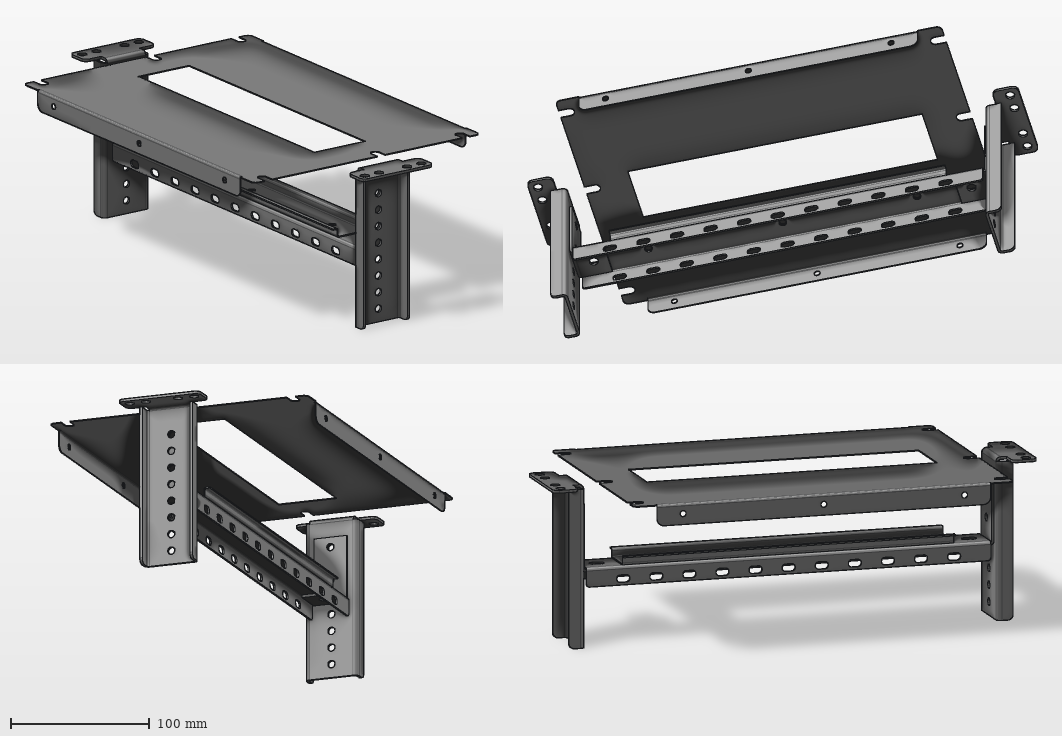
import cadquery as cq
OVERALL_LENGTH = 365.0
OVERALL_HEIGHT = 120.0
HOLE_PITCH = 12.5

PLATE_LENGTH = 287.0
PLATE_WIDTH = 199.5
PLATE_THICKNESS = 0.7
PLATE_BEND_RADIUS = 2.0
PLATE_CORNER_RADIUS = 4.0
SKIRT_LENGTH = 252.0
SKIRT_HEIGHT = 15.7
SKIRT_CORNER_RADIUS = 5.5
SKIRT_HOLE_DIAMETER = 4.5
SKIRT_HOLE_SPACING = 106.2
SKIRT_HOLE_DEPTH = 7.5
WINDOW_LENGTH = 219.0
WINDOW_WIDTH = 45.0
EDGE_SLOT_DEPTH = 11.0
EDGE_SLOT_WIDTH = 7.0
EDGE_SLOT_OFFSETS = (-7 * HOLE_PITCH, HOLE_PITCH, 7 * HOLE_PITCH)

HANGER_INNER_X = 155.5
HANGER_WIDTH = 41.0
HANGER_LEG_DEPTH = 12.0
HANGER_THICKNESS = 2.0
HANGER_BEND_RADIUS = 3.45
HANGER_LEG_GAP = 3.0
HANGER_LEG_CORNER_RADIUS = 4.0
HANGER_HOLE_DIAMETER = 5.5
HANGER_HOLE_COUNT = 8
HANGER_TOP_HOLE_DEPTH = 22.5
FLANGE_LENGTH = 62.8
FLANGE_DEPTH = 19.0
FLANGE_CORNER_RADIUS = 4.5
FLANGE_HOLE_DIAMETER = 6.5
FLANGE_HOLE_INSET = 7.0
FLANGE_HOLE_OFFSETS = (-2 * HOLE_PITCH, -HOLE_PITCH, HOLE_PITCH, 2 * HOLE_PITCH)

CROSSBAR_LENGTH = 305.0
CROSSBAR_WIDTH = 29.5
CROSSBAR_HEIGHT = 14.2
CROSSBAR_THICKNESS = 1.28
CROSSBAR_BEND_RADIUS = 2.2
CROSSBAR_CORNER_RADIUS = 2.2
CROSSBAR_TOP_Z = -62.5
SIDE_SLOT_COUNT = 11
SIDE_SLOT_LENGTH = 10.0
SIDE_SLOT_HEIGHT = 5.5
SIDE_SLOT_DEPTH = 9.5
END_SLOT_LENGTH = 11.0
END_SLOT_WIDTH = 6.5
END_SLOT_INSET = 12.0
END_SLOT_X = CROSSBAR_LENGTH / 2 - END_SLOT_INSET

ANGLE_WIDTH = 25.2
ANGLE_HEIGHT = 50.5
ANGLE_THICKNESS = 2.0
ANGLE_BEND_RADIUS = 3.0
ANGLE_FOOT_LENGTH = 25.5
ANGLE_FOOT_HOLE_DIAMETER = 6.5

RAIL_LENGTH = 250.0
RAIL_WIDTH = 34.3
RAIL_BASE_WIDTH = 27.0
RAIL_HEIGHT = 7.3
RAIL_THICKNESS = 1.0
RAIL_BEND_RADIUS = 2.0
RAIL_HOLE_DIAMETER = 5.5
RAIL_HOLE_SPACING = 8 * HOLE_PITCH
RAIL_HOLE_XS = (-RAIL_HOLE_SPACING, 0, RAIL_HOLE_SPACING)


def block(x_range, y_range, z_range):
    """Rectangular block between pairs of limits."""
    size = [high - low for low, high in (x_range, y_range, z_range)]
    corner = (x_range[0], y_range[0], z_range[0])
    return cq.Workplane("XY").box(*size, centered=False).translate(corner)


def vertical_holes(points, diameter):
    """Cylinders along Z, long enough to pass through every body."""
    return cq.Workplane("XY").pushPoints(points).circle(diameter / 2).extrude(OVERALL_HEIGHT, both=True)


def folded_channel(length, width, height, thickness, bend_radius, corner_radius):
    """U-section along X, open downward, top face at Z = 0, free corners of both sides rounded."""
    outer = block((-length / 2, length / 2), (-width / 2, width / 2), (-height, 0))
    outer = outer.edges("|X and >Z").fillet(bend_radius)
    outer = outer.edges("|Y and <Z").fillet(corner_radius)
    inner_half = width / 2 - thickness
    inner = block((-length, length), (-inner_half, inner_half), (-2 * height, -thickness))
    inner = inner.edges("|X and >Z").fillet(bend_radius - thickness)
    return outer.cut(inner)


def make_plate():
    plate = folded_channel(
        SKIRT_LENGTH, PLATE_WIDTH, SKIRT_HEIGHT, PLATE_THICKNESS, PLATE_BEND_RADIUS, SKIRT_CORNER_RADIUS
    )
    half_length = PLATE_LENGTH / 2
    half_width = PLATE_WIDTH / 2
    right_ear = block((SKIRT_LENGTH / 2, half_length), (-half_width, half_width), (-PLATE_THICKNESS, 0))
    right_ear = right_ear.edges("|Z and >X").fillet(PLATE_CORNER_RADIUS)
    plate = plate.union(right_ear).union(right_ear.mirror("YZ"))

    window = cq.Workplane("XY").rect(WINDOW_LENGTH, WINDOW_WIDTH).extrude(-PLATE_THICKNESS)
    slot_points = [(x, y) for x in (-half_length, half_length) for y in EDGE_SLOT_OFFSETS]
    edge_slots = (
        cq.Workplane("XY").pushPoints(slot_points).slot2D(2 * EDGE_SLOT_DEPTH, EDGE_SLOT_WIDTH)
        .extrude(-PLATE_THICKNESS)
    )
    skirt_hole_points = [(i * SKIRT_HOLE_SPACING, -SKIRT_HOLE_DEPTH) for i in (-1, 0, 1)]
    skirt_holes = (
        cq.Workplane("XZ").pushPoints(skirt_hole_points).circle(SKIRT_HOLE_DIAMETER / 2)
        .extrude(PLATE_WIDTH, both=True)
    )
    return plate.cut(window).cut(edge_slots).cut(skirt_holes)


def make_hanger():
    """Hanger at the +X end, with its legs and fixing flange pointing toward +X."""
    inner_x = HANGER_INNER_X
    outer_x = OVERALL_LENGTH / 2
    leg_x = inner_x + HANGER_LEG_DEPTH
    half_width = HANGER_WIDTH / 2
    neck_half = half_width - HANGER_BEND_RADIUS
    inner_radius = HANGER_BEND_RADIUS - HANGER_THICKNESS
    web_x = inner_x + HANGER_THICKNESS

    upright = block((inner_x, leg_x), (-half_width, half_width), (-OVERALL_HEIGHT, -HANGER_LEG_GAP))
    upright = upright.edges("|Z and <X").fillet(HANGER_BEND_RADIUS)
    upright = upright.edges("|Y and >X and <Z").fillet(HANGER_LEG_CORNER_RADIUS)
    hollow_half = half_width - HANGER_THICKNESS
    hollow = block((web_x, outer_x), (-hollow_half, hollow_half), (-2 * OVERALL_HEIGHT, 0))
    hollow = hollow.edges("|Z and <X").fillet(inner_radius)
    bend_space = block((0, web_x), (-neck_half, neck_half), (-HANGER_BEND_RADIUS, 0))
    upright = upright.cut(hollow).cut(bend_space)

    neck = block((inner_x, outer_x - FLANGE_DEPTH), (-neck_half, neck_half), (-2 * HANGER_BEND_RADIUS, 0))
    neck = neck.edges("|Y and <X and >Z").fillet(HANGER_BEND_RADIUS)
    under_neck = block((web_x, outer_x), (-half_width, half_width), (-OVERALL_HEIGHT, -HANGER_THICKNESS))
    under_neck = under_neck.edges("|Y and <X and >Z").fillet(inner_radius)
    neck = neck.cut(under_neck)

    flange = block(
        (outer_x - FLANGE_DEPTH, outer_x), (-FLANGE_LENGTH / 2, FLANGE_LENGTH / 2), (-HANGER_THICKNESS, 0)
    )
    flange = flange.edges("|Z").fillet(FLANGE_CORNER_RADIUS)
    flange_hole_points = [(outer_x - FLANGE_HOLE_INSET, y) for y in FLANGE_HOLE_OFFSETS]
    flange = flange.cut(vertical_holes(flange_hole_points, FLANGE_HOLE_DIAMETER))

    return upright.union(neck).union(flange).cut(web_holes(range(HANGER_HOLE_COUNT)))


def web_holes(positions):
    """Holes along X at the given steps of the hanger's hole row, counted from the top."""
    points = [(0, -HANGER_TOP_HOLE_DEPTH - i * HOLE_PITCH) for i in positions]
    return cq.Workplane("YZ").pushPoints(points).circle(HANGER_HOLE_DIAMETER / 2).extrude(OVERALL_LENGTH)


def make_crossbar():
    crossbar = folded_channel(
        CROSSBAR_LENGTH, CROSSBAR_WIDTH, CROSSBAR_HEIGHT,
        CROSSBAR_THICKNESS, CROSSBAR_BEND_RADIUS, CROSSBAR_CORNER_RADIUS,
    )
    side_slots = (
        cq.Workplane("XZ").center(0, -SIDE_SLOT_DEPTH).rarray(2 * HOLE_PITCH, 3.5, SIDE_SLOT_COUNT, 1)
        .slot2D(SIDE_SLOT_LENGTH, SIDE_SLOT_HEIGHT).extrude(CROSSBAR_WIDTH, both=True)
    )
    end_slots = (
        cq.Workplane("XY").pushPoints([(-END_SLOT_X, 0), (END_SLOT_X, 0)])
        .slot2D(END_SLOT_LENGTH, END_SLOT_WIDTH).extrude(-CROSSBAR_THICKNESS)
    )
    rail_holes = vertical_holes([(x, 0) for x in RAIL_HOLE_XS], RAIL_HOLE_DIAMETER)
    crossbar = crossbar.cut(side_slots).cut(end_slots).cut(rail_holes)
    return crossbar.translate((0, 0, CROSSBAR_TOP_Z))


def make_angle():
    """Angle at the +X end: the upright lies on the hanger, the foot under the crossbar's top."""
    outer_x = HANGER_INNER_X
    foot_top_z = CROSSBAR_TOP_Z - CROSSBAR_THICKNESS
    foot_bottom_z = foot_top_z - ANGLE_THICKNESS
    foot_end_x = outer_x - ANGLE_FOOT_LENGTH
    top_z = foot_bottom_z + ANGLE_HEIGHT
    half_width = ANGLE_WIDTH / 2

    angle = block((foot_end_x, outer_x), (-half_width, half_width), (foot_bottom_z, top_z))
    angle = angle.edges("|Y and >X and <Z").fillet(ANGLE_BEND_RADIUS)
    inside = block((0, outer_x - ANGLE_THICKNESS), (-half_width, half_width), (foot_top_z, 0))
    inside = inside.edges("|Y and >X and <Z").fillet(ANGLE_BEND_RADIUS - ANGLE_THICKNESS)
    foot_hole = vertical_holes([(END_SLOT_X, 0)], ANGLE_FOOT_HOLE_DIAMETER)
    upright_holes = web_holes((0, 2)).intersect(
        block((END_SLOT_X, outer_x), (-half_width, half_width), (-OVERALL_HEIGHT, 0))
    )
    return angle.cut(inside).cut(foot_hole).cut(upright_holes)


def make_rail():
    """Top-hat section along X, base down, with its two lips pointing outward."""
    base_half = RAIL_BASE_WIDTH / 2
    lip_half = RAIL_WIDTH / 2
    half_length = RAIL_LENGTH / 2
    lip_bottom = RAIL_HEIGHT - RAIL_THICKNESS
    inner_half = base_half - RAIL_THICKNESS
    inner_radius = RAIL_BEND_RADIUS - RAIL_THICKNESS

    rail = block((-half_length, half_length), (-lip_half, lip_half), (0, RAIL_HEIGHT))
    trough = block((-half_length, half_length), (-inner_half, inner_half), (RAIL_THICKNESS, RAIL_HEIGHT))
    rail = rail.cut(trough.edges("|X and <Z").fillet(inner_radius))
    rail = rail.edges("|X and >Z").edges(cq.selectors.BoxSelector(
        (-half_length, -base_half, 0), (half_length, base_half, 2 * RAIL_HEIGHT)
    )).fillet(RAIL_BEND_RADIUS)
    side = block((-half_length, half_length), (base_half, 2 * lip_half), (-RAIL_HEIGHT, lip_bottom))
    side = side.edges("|X and >Z and <Y").fillet(inner_radius)
    rail = rail.cut(side).cut(side.mirror("XZ"))
    rail = rail.edges("|X and <Z").fillet(RAIL_BEND_RADIUS)
    rail = rail.cut(vertical_holes([(x, 0) for x in RAIL_HOLE_XS], RAIL_HOLE_DIAMETER))
    return rail.translate((0, 0, CROSSBAR_TOP_Z))


plate = make_plate()
crossbar = make_crossbar()
rail = make_rail()

end_bodies = []
for end_body in (make_hanger(), make_angle()):
    end_bodies += [end_body.val(), end_body.mirror("YZ").val()]

result = cq.Compound.makeCompound([plate.val(), crossbar.val(), rail.val(), *end_bodies])